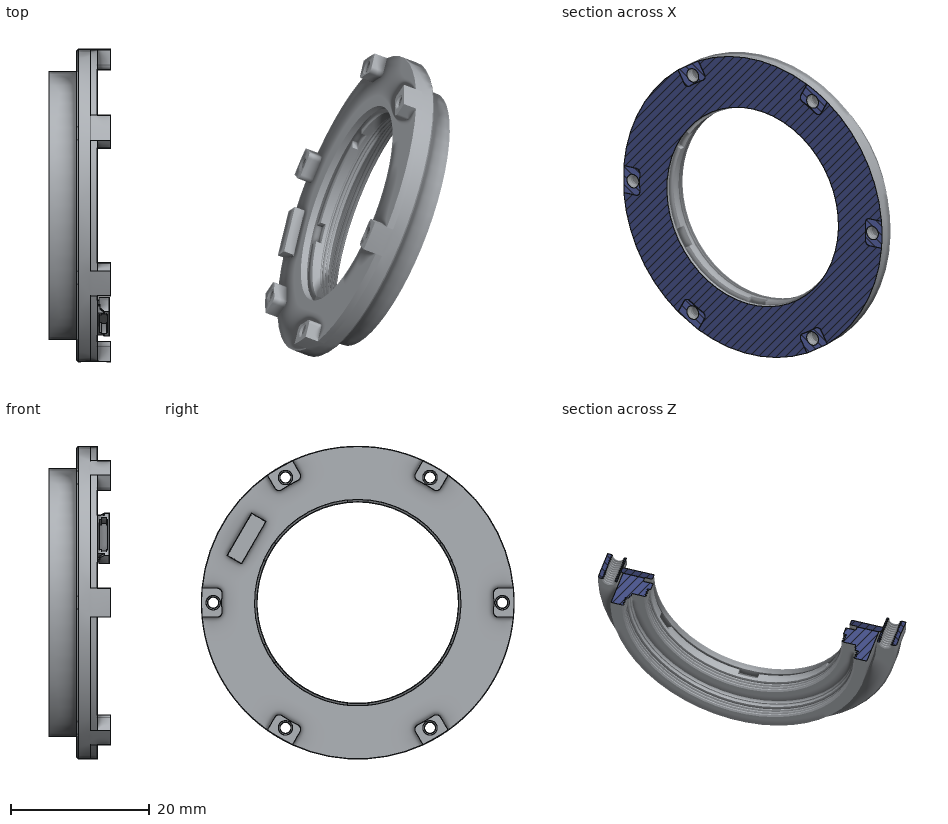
import cadquery as cq
total_length = 8.9
flange_front = 4.0
board_front = 6.0
board_thickness = 1.0
board_back = board_front + board_thickness

thread_flank = 0.31
thread_crest = 0.25

tube_radius = 19.3
front_thread_major = 17.55
front_thread_minor = 17.3
seat_radius = 17.0
inner_seat_radius = 16.85
seat_step = 2.0
back_thread_major = 15.0
back_thread_minor = 14.7
bore_radius = 14.5
tube_thread_pitch = 0.5
tube_thread_turns = 3
back_thread_start = 2.5
lip_back = 5.3
back_recess_radius = 15.98
notch_front = 4.5
notch_width = 2.95
tube_thread_length = tube_thread_pitch * tube_thread_turns

flange_radius = 22.5
flange_bore_radius = 19.58
flange_chamfer = 0.25
standoff_count = 6
standoff_spacing = 360 / standoff_count
standoff_width = 4.2
standoff_fillet = 0.7
screw_circle_radius = 20.8
screw_thread_major = 1.05
screw_thread_minor = 0.788
screw_thread_turns = 12
screw_thread_pitch = (total_length - flange_front) / screw_thread_turns

board_bore_radius = 14.85

connector_angle = 30
connector_width = 7.0
connector_inner = 17.3
connector_outer = 19.65
connector_back = 8.75
connector_clearance = 0.22
connector_bottom = board_back + connector_clearance
foot_inset = 0.3
foot_step = 0.15
foot_inner = 18.5
foot_slope_start = 19.0
socket_floor = 18.0
socket_front = 7.3
socket_back = 8.45
socket_width = 5.0
key_front = 7.6
key_back = 8.32
key_width = 5.6
solder_tab_inner = 17.75
solder_tab_width = 0.9


def revolve_about_x(points):
    """Turn a closed (x, radius) outline around the X axis."""
    return cq.Workplane("XZ").polyline(points).close().revolve(360, (0, 0, 0), (1, 0, 0))


def thread_points(start, pitch, turns, major, minor):
    """(x, radius) points of an internal thread of flat-topped ridges that ends at the major radius."""
    crest_start = thread_flank * pitch
    crest_end = crest_start + thread_crest * pitch
    ridge_end = crest_end + thread_flank * pitch
    points = []
    for turn in range(turns):
        turn_start = start + turn * pitch
        points.append((turn_start, major))
        points.append((turn_start + crest_start, minor))
        points.append((turn_start + crest_end, minor))
        points.append((turn_start + ridge_end, major))
    points.append((start + turns * pitch, major))
    return points


def turned(shape, angle):
    """Turn a shape around the X axis, moving the -Y side toward +Z for positive angles."""
    return shape.rotate((0, 0, 0), (1, 0, 0), -angle)


def radial_box(front, back, inner, outer, width, sideways=0):
    """Box on the -Y side: inner and outer are distances from the X axis, width runs along Z."""
    center = ((front + back) / 2, -(inner + outer) / 2, sideways)
    return cq.Workplane("XY").box(back - front, outer - inner, width).translate(center)


def make_tube():
    front_thread = thread_points(
        0, tube_thread_pitch, tube_thread_turns, front_thread_major, front_thread_minor
    )
    back_thread = thread_points(
        back_thread_start, tube_thread_pitch, tube_thread_turns, back_thread_major, back_thread_minor
    )
    back_thread_end = back_thread_start + tube_thread_length
    tube = revolve_about_x(
        front_thread
        + [
            (tube_thread_length, seat_radius),
            (seat_step, seat_radius),
            (seat_step, inner_seat_radius),
            (back_thread_start, inner_seat_radius),
        ]
        + back_thread
        + [
            (back_thread_end, bore_radius),
            (lip_back, bore_radius),
            (lip_back, back_recess_radius),
            (board_front, back_recess_radius),
            (board_front, tube_radius),
            (0, tube_radius),
        ]
    )
    recess_core = revolve_about_x(
        [
            (notch_front, 0),
            (lip_back, 0),
            (lip_back, back_recess_radius),
            (notch_front, back_recess_radius),
        ]
    )
    notch = radial_box(notch_front, lip_back, 0, flange_radius, notch_width).intersect(recess_core)
    for index in range(standoff_count):
        tube = tube.cut(turned(notch, (index + 0.5) * standoff_spacing))
    return tube


def make_standoffs():
    """Blocks from the flange to the back end, cut from a ring flush with the flange rim."""
    ring = revolve_about_x(
        [
            (board_front, flange_bore_radius),
            (total_length, flange_bore_radius),
            (total_length, flange_radius),
            (board_front, flange_radius),
        ]
    )
    block = radial_box(board_front, total_length, tube_radius / 2, 2 * flange_radius, standoff_width)
    standoff = ring.intersect(block).edges("|X").edges(">Y").fillet(standoff_fillet)
    return [turned(standoff, index * standoff_spacing) for index in range(standoff_count)]


def make_screw_thread():
    """Solid that fills one threaded screw hole on the -Y side."""
    outline = thread_points(
        flange_front, screw_thread_pitch, screw_thread_turns, screw_thread_major, screw_thread_minor
    )
    filler = revolve_about_x([(flange_front, 0)] + outline + [(total_length, 0)])
    return filler.translate((0, -screw_circle_radius, 0))


def make_flange(standoffs):
    flange = revolve_about_x(
        [
            (flange_front, flange_bore_radius),
            (board_front, flange_bore_radius),
            (board_front, flange_radius),
            (flange_front + flange_chamfer, flange_radius),
            (flange_front, flange_radius - flange_chamfer),
        ]
    )
    for standoff in standoffs:
        flange = flange.union(standoff)
    flange = flange.clean()
    screw_thread = make_screw_thread()
    for index in range(standoff_count):
        flange = flange.cut(turned(screw_thread, index * standoff_spacing))
    return flange


def make_board(standoffs):
    """Flat ring, notched at the rim where the standoffs pass."""
    board = revolve_about_x(
        [
            (board_front, board_bore_radius),
            (board_back, board_bore_radius),
            (board_back, flange_radius),
            (board_front, flange_radius),
        ]
    )
    for standoff in standoffs:
        board = board.cut(standoff)
    return board


def make_connector_housing():
    housing = radial_box(
        connector_bottom, connector_back, connector_inner, connector_outer, connector_width
    )
    step_top = connector_bottom + foot_step
    slope_rise = connector_outer - foot_slope_start
    end_recess = (
        cq.Workplane("XY")
        .polyline(
            [
                (connector_bottom, -foot_inner),
                (step_top, -foot_inner),
                (step_top, -foot_slope_start),
                (step_top + slope_rise, -connector_outer),
                (connector_bottom, -connector_outer),
            ]
        )
        .close()
        .extrude(foot_inset)
        .translate((0, 0, connector_width / 2 - foot_inset))
    )
    housing = housing.cut(end_recess).cut(end_recess.mirror("XY"))
    foot_width = connector_width - 2 * foot_inset
    housing = housing.union(
        radial_box(board_back, connector_bottom, foot_inner, connector_outer, foot_width)
    )
    socket = radial_box(socket_front, socket_back, socket_floor, connector_outer, socket_width)
    key = radial_box(key_front, key_back, socket_floor, connector_outer, key_width)
    return turned(housing.cut(socket).cut(key), connector_angle)


def make_solder_tab(side):
    """Tab between the board and one end of the connector housing; side is 1 or -1."""
    sideways = side * (connector_width - solder_tab_width) / 2
    tab = radial_box(
        board_back, connector_bottom, solder_tab_inner, foot_inner, solder_tab_width, sideways
    )
    return turned(tab, connector_angle)


standoffs = make_standoffs()
tube = make_tube()
flange = make_flange(standoffs)
board = make_board(standoffs)
connector_housing = make_connector_housing()
solder_tabs = [make_solder_tab(side) for side in (1, -1)]

bodies = [tube, flange, board, connector_housing, *solder_tabs]
result = cq.Compound.makeCompound([body.solids().val() for body in bodies])